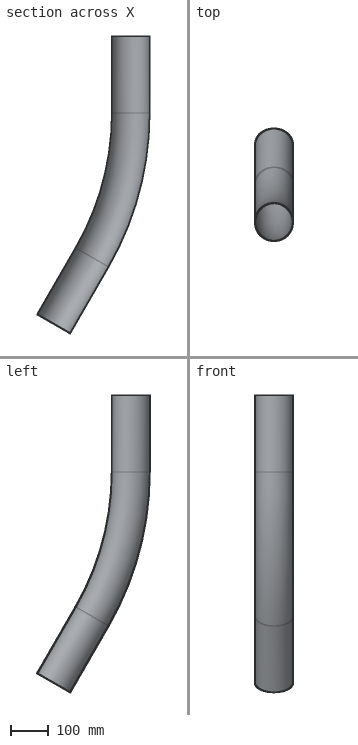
import cadquery as cq
import math

OUTER_DIAMETER = 101.6
INNER_DIAMETER = 98.4
LEG_LENGTH = 203.2
BEND_RADIUS = 762.0
BEND_ANGLE = 30.0


def bend_point(angle_degrees):
    """Centreline point (y, z) of the bend, which starts at the origin heading down."""
    angle = math.radians(angle_degrees)
    y = BEND_RADIUS * (1 - math.cos(angle))
    z = -BEND_RADIUS * math.sin(angle)
    return y, z


def tube_centreline():
    """Path in the YZ plane from the top end of the tube to the bottom end."""
    bend_middle = bend_point(BEND_ANGLE / 2)
    bend_end = bend_point(BEND_ANGLE)
    lower_direction = math.radians(BEND_ANGLE)
    lower_end = (
        bend_end[0] + LEG_LENGTH * math.sin(lower_direction),
        bend_end[1] - LEG_LENGTH * math.cos(lower_direction),
    )
    return (
        cq.Workplane("YZ")
        .moveTo(0, LEG_LENGTH)
        .lineTo(0, 0)
        .threePointArc(bend_middle, bend_end)
        .lineTo(*lower_end)
    )


def bent_tube():
    """Ring section at the top end, swept down the centreline."""
    return (
        cq.Workplane("XY", origin=(0, 0, LEG_LENGTH))
        .circle(OUTER_DIAMETER / 2)
        .circle(INNER_DIAMETER / 2)
        .sweep(tube_centreline())
    )


result = bent_tube()